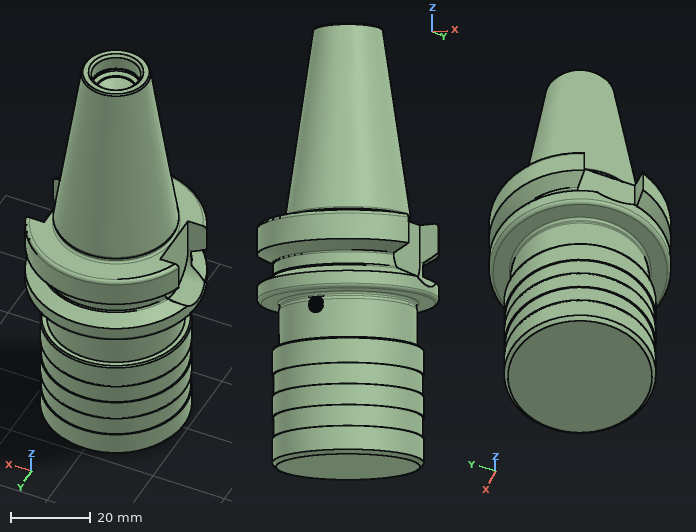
import cadquery as cq
import math


GAUGE_RADIUS = 31.75 / 2
TAPER_LENGTH = 48.4
TAPER_RATIO = 7 / 24
TIP_RADIUS = GAUGE_RADIUS - TAPER_LENGTH * TAPER_RATIO / 2
TIP_CHAMFER = 0.4
SHANK_LAND_HEIGHT = 0.5
SHANK_RELIEF = 0.35
NECK_FILLET = 0.6

FLANGE_RADIUS = 23.0
FLANGE_TOP = -2.0
FLANGE_BOTTOM = -22.0
FLANGE_EDGE = 1.0
GROOVE_MIDDLE = -13.7
GROOVE_FLOOR_RADIUS = 19.0
GROOVE_MOUTH = 8.2
GROOVE_FILLET = 0.5
GROOVE_FLANK_ANGLE = math.radians(30)

SLOT_WIDTH = 16.1
SLOT_FLOOR_OFFSET = 16.3
SLOT_BOTTOM = -19.6

BODY_RADIUS = 17.5
BODY_FILLET = 0.6
UNDERCUT_DEPTH = 0.2
UNDERCUT_BOTTOM = -23.1
UNDERCUT_RUNOUT = 0.8

SLEEVE_RADIUS = 19.2
SLEEVE_TOP = -34.0
SLEEVE_BOTTOM = -64.0
SLEEVE_TOP_CHAMFER = 0.4
SLEEVE_BOTTOM_CHAMFER = 1.0
BAND_DEPTH = 0.3
BAND_HEIGHT = 5.4
BAND_TOPS = (-40.7, -51.5)

BORE_RADIUS = 6.25
BORE_DEPTH = 4.55
BORE_CHAMFER = 0.7
BORE_RELIEF_RADIUS = 6.5
BORE_RELIEF_HEIGHT = 0.85
DRILL_RADIUS = 5.2
STEP_DEPTH = 0.5
DRILL_DEPTH = 6.3
POINT_HALF_ANGLE = 59.0

SCREW_HOLE_HEIGHT = -25.1
SCREW_HOLE_RADII = (2.0, 1.6, 1.2, 0.8, 0.4)
SCREW_HOLE_STEP = 0.5


def make_body():
    groove_top = GROOVE_MIDDLE + GROOVE_MOUTH / 2
    groove_bottom = GROOVE_MIDDLE - GROOVE_MOUTH / 2
    flank_height = (FLANGE_RADIUS - GROOVE_FLOOR_RADIUS) * math.tan(GROOVE_FLANK_ANGLE)
    floor_top = groove_top - flank_height
    floor_bottom = groove_bottom + flank_height

    fillet_turn = math.pi / 2 - GROOVE_FLANK_ANGLE
    fillet_tangent = GROOVE_FILLET * math.tan(fillet_turn / 2)
    fillet_on_flank = fillet_tangent * math.sin(GROOVE_FLANK_ANGLE)
    flank_end_radius = GROOVE_FLOOR_RADIUS + fillet_tangent * math.cos(GROOVE_FLANK_ANGLE)

    neck_radius = GAUGE_RADIUS - SHANK_RELIEF
    undercut_radius = BODY_RADIUS - UNDERCUT_DEPTH
    outline = (
        cq.Workplane("XZ")
        .moveTo(0, TAPER_LENGTH)
        .lineTo(TIP_RADIUS - TIP_CHAMFER, TAPER_LENGTH)
        .lineTo(TIP_RADIUS, TAPER_LENGTH - TIP_CHAMFER)
        .lineTo(GAUGE_RADIUS, 0)
        .lineTo(GAUGE_RADIUS, -SHANK_LAND_HEIGHT)
        .lineTo(neck_radius, -SHANK_LAND_HEIGHT - SHANK_RELIEF)
        .lineTo(neck_radius, FLANGE_TOP + NECK_FILLET)
        .radiusArc((neck_radius + NECK_FILLET, FLANGE_TOP), -NECK_FILLET)
        .lineTo(FLANGE_RADIUS - FLANGE_EDGE, FLANGE_TOP)
        .radiusArc((FLANGE_RADIUS, FLANGE_TOP - FLANGE_EDGE), FLANGE_EDGE)
        .lineTo(FLANGE_RADIUS, groove_top)
        .lineTo(flank_end_radius, floor_top + fillet_on_flank)
        .radiusArc((GROOVE_FLOOR_RADIUS, floor_top - fillet_tangent), -GROOVE_FILLET)
        .lineTo(GROOVE_FLOOR_RADIUS, floor_bottom + fillet_tangent)
        .radiusArc((flank_end_radius, floor_bottom - fillet_on_flank), -GROOVE_FILLET)
        .lineTo(FLANGE_RADIUS, groove_bottom)
        .lineTo(FLANGE_RADIUS, FLANGE_BOTTOM + FLANGE_EDGE)
        .radiusArc((FLANGE_RADIUS - FLANGE_EDGE, FLANGE_BOTTOM), FLANGE_EDGE)
        .lineTo(undercut_radius + BODY_FILLET, FLANGE_BOTTOM)
        .radiusArc((undercut_radius, FLANGE_BOTTOM - BODY_FILLET), -BODY_FILLET)
        .lineTo(undercut_radius, UNDERCUT_BOTTOM)
        .lineTo(BODY_RADIUS, UNDERCUT_BOTTOM - UNDERCUT_RUNOUT)
        .lineTo(BODY_RADIUS, SLEEVE_TOP)
        .lineTo(SLEEVE_RADIUS - SLEEVE_TOP_CHAMFER, SLEEVE_TOP)
        .lineTo(SLEEVE_RADIUS, SLEEVE_TOP - SLEEVE_TOP_CHAMFER)
        .lineTo(SLEEVE_RADIUS, SLEEVE_BOTTOM + SLEEVE_BOTTOM_CHAMFER)
        .lineTo(SLEEVE_RADIUS - SLEEVE_BOTTOM_CHAMFER, SLEEVE_BOTTOM)
        .lineTo(0, SLEEVE_BOTTOM)
        .close()
    )
    return outline.revolve(360, (0, 0, 0), (0, 1, 0))


def make_band_recess(top):
    return (
        cq.Workplane("XY", origin=(0, 0, top - BAND_HEIGHT))
        .circle(FLANGE_RADIUS)
        .circle(SLEEVE_RADIUS - BAND_DEPTH)
        .extrude(BAND_HEIGHT)
    )


def make_driving_slot(side):
    half_width = SLOT_WIDTH / 2
    return (
        cq.Workplane("YZ", origin=(side * SLOT_FLOOR_OFFSET, 0, 0))
        .moveTo(-half_width, FLANGE_TOP)
        .lineTo(-half_width, SLOT_BOTTOM + half_width)
        .threePointArc((0, SLOT_BOTTOM), (half_width, SLOT_BOTTOM + half_width))
        .lineTo(half_width, FLANGE_TOP)
        .close()
        .extrude(side * FLANGE_RADIUS)
    )


def make_bore():
    relief_top = TAPER_LENGTH - BORE_DEPTH
    step_top = relief_top - BORE_RELIEF_HEIGHT
    drill_bottom = TAPER_LENGTH - DRILL_DEPTH
    point_bottom = drill_bottom - DRILL_RADIUS / math.tan(math.radians(POINT_HALF_ANGLE))
    outline = (
        cq.Workplane("XZ")
        .moveTo(0, TAPER_LENGTH)
        .lineTo(BORE_RADIUS + BORE_CHAMFER, TAPER_LENGTH)
        .lineTo(BORE_RADIUS, TAPER_LENGTH - BORE_CHAMFER)
        .lineTo(BORE_RADIUS, relief_top)
        .lineTo(BORE_RELIEF_RADIUS, relief_top)
        .lineTo(BORE_RELIEF_RADIUS, step_top)
        .lineTo(DRILL_RADIUS, step_top - STEP_DEPTH)
        .lineTo(DRILL_RADIUS, drill_bottom)
        .lineTo(0, point_bottom)
        .close()
    )
    return outline.revolve(360, (0, 0, 0), (0, 1, 0))


def cut_screw_hole(part):
    for step, radius in enumerate(SCREW_HOLE_RADII, start=1):
        depth = step * SCREW_HOLE_STEP
        drill = (
            cq.Workplane("XZ", origin=(0, depth - BODY_RADIUS, SCREW_HOLE_HEIGHT))
            .circle(radius)
            .extrude(depth)
        )
        part = part.cut(drill)
    return part


result = make_body()
for band_top in BAND_TOPS:
    result = result.cut(make_band_recess(band_top))
for slot_side in (-1, 1):
    result = result.cut(make_driving_slot(slot_side))
result = result.cut(make_bore())
result = cut_screw_hole(result)